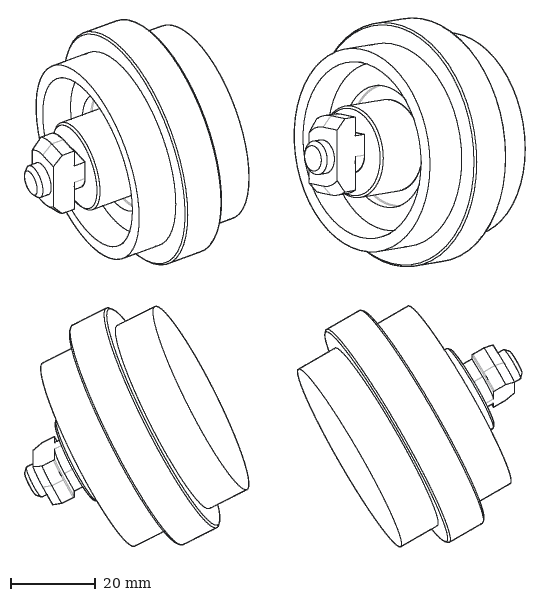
import cadquery as cq
import math


barrel_diameter = 48.4
barrel_length = 30.0
flange_diameter = 58.0
flange_width = 10.0
flange_chamfer = 0.45
flange_front_setback = 10.0

draft_angle = 8.0
cavity_diameter = 42.0
cavity_depth = 7.0
recess_diameter = 29.0
recess_depth = 2.5

edge_radius = 0.2

hub_diameter = 21.8
hub_projection = 3.5
hub_chamfer = 0.5

key_width = 10.0
neck_length = 2.95
head_height = 19.0
head_length = 5.8
head_chamfer = 2.45
head_back_radius = 0.3
pin_diameter = 8.0
pin_length = 3.25
pin_chamfer = 1.0

flange_front = barrel_length - flange_front_setback
flange_back = flange_front - flange_width
cavity_floor = barrel_length - cavity_depth
recess_floor = cavity_floor - recess_depth
hub_front = barrel_length + hub_projection
head_back = hub_front + neck_length
head_front = head_back + head_length


def disc(diameter, start, end):
    """Cylinder on the part axis between two distances from the back face."""
    plane = cq.Workplane("XZ", origin=(0, -start, 0))
    return plane.circle(diameter / 2).extrude(end - start)


def drafted_pocket(diameter, opening, depth):
    """Round pocket volume that narrows from its opening (distance from the back face) to its floor."""
    floor_diameter = diameter - 2 * depth * math.tan(math.radians(draft_angle))
    floor_plane = cq.Workplane("XZ", origin=(0, -(opening - depth), 0)).circle(floor_diameter / 2)
    return floor_plane.workplane(offset=depth).circle(diameter / 2).loft(ruled=True)


def key_section(height, start, end, back_radius, front_chamfer=0.0):
    """Key bar with two opposite quadrants rounded and the other two square; its back rim is rounded."""
    half_width = key_width / 2
    half_height = height / 2
    length = end - start
    middle = -(start + end) / 2
    round_part = disc(height, start, end)
    square_part = cq.Workplane("XY").box(height, length, height).translate((0, middle, 0))
    round_part = round_part.faces(">Y").edges().fillet(back_radius)
    square_part = square_part.faces(">Y").edges().fillet(back_radius)
    if front_chamfer:
        round_part = round_part.faces("<Y").chamfer(front_chamfer)
        square_part = square_part.faces("<Y").edges("|X").chamfer(front_chamfer)

    def quadrant(x_sign, z_sign):
        center = (x_sign * half_width / 2, middle, z_sign * half_height / 2)
        return cq.Workplane("XY").box(half_width, length, half_height).translate(center)

    section = round_part.intersect(quadrant(-1, 1))
    section = section.union(square_part.intersect(quadrant(1, 1)))
    section = section.union(square_part.intersect(quadrant(-1, -1)))
    return section.union(round_part.intersect(quadrant(1, -1)))


flange = disc(flange_diameter, flange_back, flange_front).edges().chamfer(flange_chamfer)
body = disc(barrel_diameter, 0, barrel_length).union(flange)
body = body.cut(drafted_pocket(cavity_diameter, barrel_length, cavity_depth))
recess = disc(recess_diameter, recess_floor, cavity_floor).faces(">Y").edges().fillet(edge_radius)
body = body.cut(recess)

hub = disc(hub_diameter, recess_floor, hub_front).faces("<Y").chamfer(hub_chamfer)
hub = hub.faces(">Y").edges().fillet(edge_radius)

neck = key_section(key_width, hub_front, head_back, edge_radius)
head = key_section(head_height, head_back, head_front, head_back_radius, head_chamfer)
pin = disc(pin_diameter, head_front, head_front + pin_length).faces("<Y").chamfer(pin_chamfer)

result = body.union(hub).union(neck).union(head).union(pin)